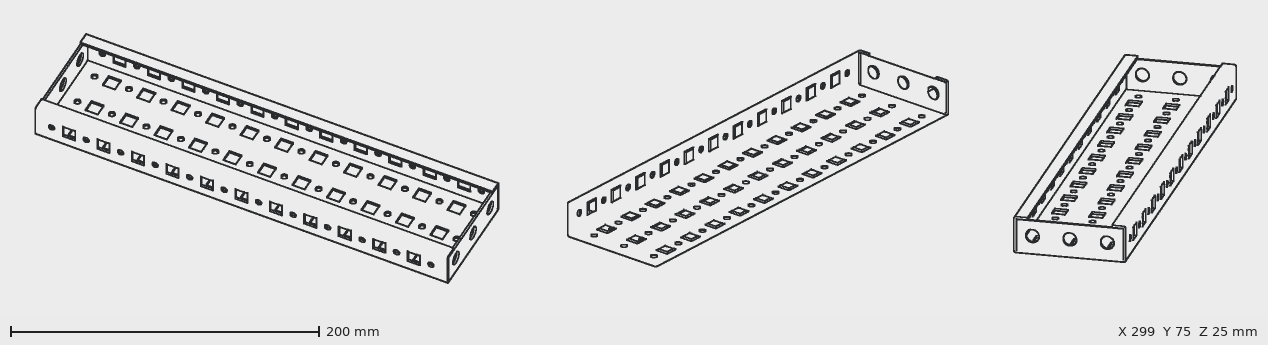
import cadquery as cq

length = 299.0
width = 75.0
height = 25.0

sheet = 1.6
outer_bend = sheet
lip_width = 9.3

wall_clearance = 0.3
end_wall_width = width - 2 * sheet - 2 * wall_clearance
end_wall_height = height - 2 * sheet - wall_clearance

row_length = 275.0
round_count = 12
pitch = row_length / (round_count - 1)
square_count = round_count - 1
row_count = 3
round_diameter = 4.2
square_side = 9.0
end_hole_diameter = 9.0
mid_height = height / 2

centered_on_base = (True, True, False)


def channel():
    """C-shaped channel along X, with rounded bends and inward lips at the top."""
    outer = cq.Workplane("XY").box(length, width, height, centered=centered_on_base)
    outer = outer.edges("|X").fillet(outer_bend)
    cavity = (
        cq.Workplane("XY", origin=(0, 0, sheet))
        .box(length, width - 2 * sheet, height - 2 * sheet, centered=centered_on_base)
    )
    opening = (
        cq.Workplane("XY", origin=(0, 0, mid_height))
        .box(length, width - 2 * lip_width, mid_height, centered=centered_on_base)
    )
    return outer.cut(cavity).cut(opening)


def end_wall(side):
    """Upright plate standing on the floor at one end; side is -1 or +1 along X."""
    return (
        cq.Workplane("XY", origin=(side * (length - sheet) / 2, 0, sheet))
        .box(sheet, end_wall_width, end_wall_height, centered=centered_on_base)
    )


def perforation(plane, rows, reach):
    """Cutters for rows of alternating round and square holes, reaching both ways from a plane."""
    rounds = (
        plane.rarray(pitch, pitch, round_count, rows)
        .circle(round_diameter / 2)
        .extrude(reach, both=True)
    )
    squares = (
        plane.rarray(pitch, pitch, square_count, rows)
        .rect(square_side, square_side)
        .extrude(reach, both=True)
    )
    return rounds.union(squares)


floor_cutter = perforation(cq.Workplane("XY"), row_count, sheet)
side_cutter = perforation(cq.Workplane("XZ", origin=(0, 0, mid_height)), 1, width / 2)
end_cutter = (
    cq.Workplane("YZ", origin=(0, 0, mid_height))
    .rarray(pitch, pitch, row_count, 1)
    .circle(end_hole_diameter / 2)
    .extrude(length / 2, both=True)
)

tray = channel().union(end_wall(-1)).union(end_wall(1))
result = tray.cut(floor_cutter).cut(side_cutter).cut(end_cutter)